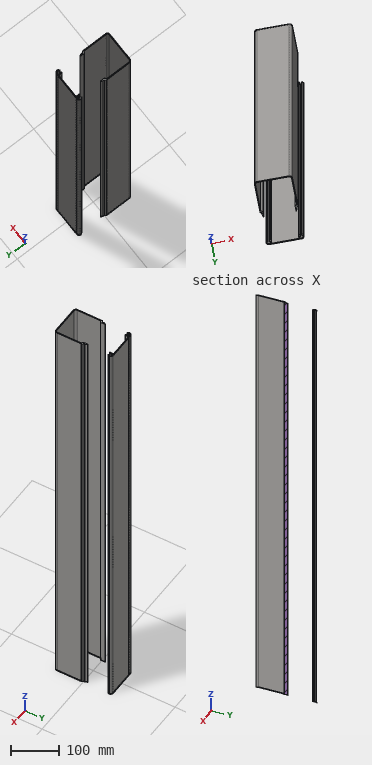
import cadquery as cq

length = 1000.0
width = 80.0
depth = 140.0
half_width = width / 2
back_y = -depth / 2
front_y = depth / 2
wall = 2.0

channel_depth = 78.0
channel_corner_radius = 6.0
lip_inset = 3.0
lip_thickness = 3.0
lip_height = 8.0
lip_step_height = 3.0
lip_overlap = 3.0
tip_inset = 2.0
tip_height = 5.0

cover_depth = 11.0
cover_corner_radius = 6.0
cover_inner_radius = 3.0
hook_reach = 3.0
hook_height = 3.0
leg_offset = 9.0
barb_reach = 2.0
barb_height = 5.0


def extrude_profile(points):
    """Extrude a closed XY outline over the full length, centred in Z."""
    return cq.Workplane("XY").workplane(offset=-length / 2).polyline(points).close().extrude(length)


def with_mirror(right_half):
    """Close a half outline with its mirror image across X = 0."""
    return right_half + [(-x, y) for x, y in reversed(right_half)]


def fillet_corner_pair(body, x, y, radius):
    """Round the two lengthwise edges at (x, y) and (-x, y)."""
    for corner_x in (-x, x):
        body = body.edges(cq.selectors.NearestToPointSelector((corner_x, y, 0))).fillet(radius)
    return body


def make_channel():
    """U-shaped channel with inset lips along its open edges."""
    top = back_y + channel_depth
    lip_base = top - lip_height
    step_base = lip_base - lip_step_height
    inner_lip_base = lip_base - lip_overlap
    lip_x = half_width - lip_inset
    inner_x = half_width - wall
    channel = extrude_profile(with_mirror([
        (half_width, back_y),
        (half_width, step_base),
        (lip_x, lip_base),
        (lip_x, top - tip_height),
        (lip_x - tip_inset, top),
        (lip_x - lip_thickness, top),
        (lip_x - lip_thickness, inner_lip_base),
        (inner_x, step_base - lip_overlap),
        (inner_x, back_y + wall),
    ]))
    channel = channel.edges("|Z and <Y").fillet(channel_corner_radius)
    return fillet_corner_pair(channel, inner_x, back_y + wall, channel_corner_radius - wall)


def make_cover():
    """Flat cover with hooked outer flanges and barbed inner legs."""
    bottom = front_y - cover_depth
    underside = front_y - wall
    inner_x = half_width - wall
    leg_outer_x = half_width - leg_offset
    leg_inner_x = leg_outer_x - wall
    cover = extrude_profile(with_mirror([
        (half_width, front_y),
        (half_width, bottom + hook_height),
        (half_width - hook_reach, bottom),
        (inner_x - hook_reach, bottom + hook_height),
        (inner_x, bottom + hook_height + wall),
        (inner_x, underside),
        (leg_outer_x, underside),
        (leg_outer_x, bottom + barb_height),
        (leg_outer_x + barb_reach, bottom + barb_height),
        (leg_outer_x, bottom),
        (leg_inner_x, bottom),
        (leg_inner_x, underside),
    ]))
    cover = cover.edges("|Z and >Y").fillet(cover_corner_radius)
    return fillet_corner_pair(cover, inner_x, underside, cover_inner_radius)


channel = make_channel()
cover = make_cover()

result = cq.Compound.makeCompound([channel.val(), cover.val()])